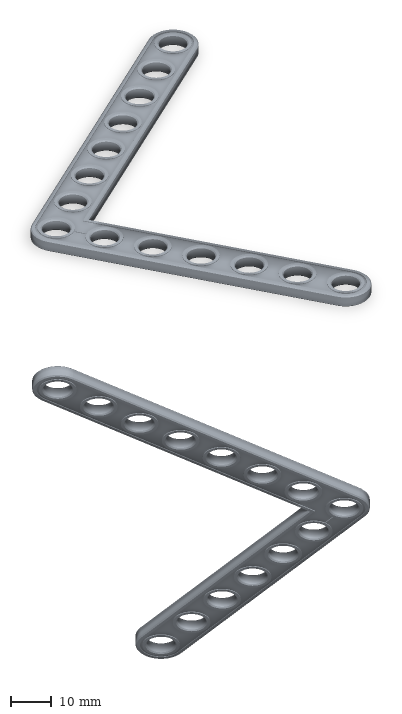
import cadquery as cq

pitch = 12.5
thickness = 3.1
holes_along_x = 7
holes_along_y = 8
hole_diameter = 7.0
collar_diameter = 9.2
rim_width = 1.1
recess_depth = 0.2
edge_chamfer = 0.3
hole_chamfer = 0.3
rib_width = 0.1

reach_x = (holes_along_x - 1) * pitch
reach_y = (holes_along_y - 1) * pitch
hole_centers = [(i * pitch, 0) for i in range(holes_along_x)]
hole_centers += [(0, j * pitch) for j in range(1, holes_along_y)]


def angle_plate(width, height):
    """L-shaped plate of two round-ended arms that share the corner hole center."""
    x_arm = cq.Workplane("XY").center(reach_x / 2, 0).slot2D(reach_x + width, width).extrude(height)
    y_arm = cq.Workplane("XY").center(0, reach_y / 2).slot2D(reach_y + width, width, 90).extrude(height)
    return x_arm.union(y_arm).clean()


def cylinders(diameter, height):
    """One upright cylinder at every hole center."""
    return cq.Workplane("XY").pushPoints(hole_centers).circle(diameter / 2).extrude(height)


def hole_cutter():
    """Through hole with a bevelled mouth on both faces, revolved about Z."""
    hole_radius = hole_diameter / 2
    mouth_radius = hole_radius + hole_chamfer
    return (
        cq.Workplane("XZ")
        .lineTo(mouth_radius, 0)
        .lineTo(hole_radius, hole_chamfer)
        .lineTo(hole_radius, thickness - hole_chamfer)
        .lineTo(mouth_radius, thickness)
        .lineTo(0, thickness)
        .close()
        .revolve(360, (0, 0, 0), (0, 1, 0))
    )


plate = angle_plate(pitch, thickness)
plate = plate.faces("<Z or >Z").edges().chamfer(edge_chamfer)

panel_width = pitch - 2 * rim_width
panel = angle_plate(panel_width, recess_depth).cut(cylinders(collar_diameter, recess_depth))
rib = cq.Workplane("XY").center(pitch / 2, 0).rect(pitch, rib_width).extrude(recess_depth)
panel = panel.cut(rib)
plate = plate.cut(panel)
plate = plate.cut(panel.translate((0, 0, thickness - recess_depth)))

for x, y in hole_centers:
    plate = plate.cut(hole_cutter().translate((x, y, 0)))

result = plate